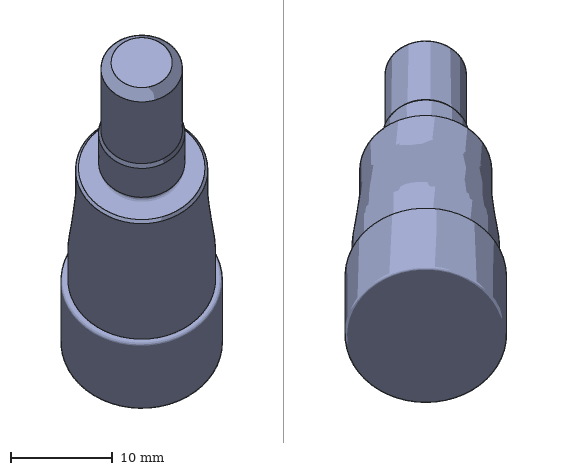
import cadquery as cq
import math

total_height = 48.0
base_height = 11.05
taper_top = 25.4
shoulder_height = 30.0
groove_height = 30.45
collar_bottom = 31.0
collar_top = 36.45

base_radius = 15.9 / 2
barrel_radius = 14.55 / 2
sleeve_radius = 13.0 / 2
groove_radius = 7.7 / 2
collar_radius = 8.5 / 2
shank_radius = 8.0 / 2

base_top_fillet = 0.4
base_bottom_fillet = 0.25
shoulder_chamfer = 0.3
collar_chamfer_height = 0.5
shank_chamfer = 1.0

undercut_lower_radius = 0.45
undercut_upper_radius = 0.6

taper_angle = math.radians(5.0)
blend_radius = 10.0


def make_base():
    """Plain round foot with both rims rounded."""
    foot = cq.Workplane("XY").circle(base_radius).extrude(base_height)
    foot = foot.faces(">Z").edges().fillet(base_top_fillet)
    return foot.faces("<Z").edges().fillet(base_bottom_fillet)


def blend_step(angle):
    """Radial and axial travel of a blend arc that has turned by the angle away from the axis."""
    return blend_radius * (1 - math.cos(angle)), blend_radius * math.sin(angle)


def make_spindle():
    """Turned barrel, tapered grip, sleeve with its shoulder, undercut, collar and shank, standing on the base."""
    end_dr, end_dz = blend_step(taper_angle)
    mid_dr, mid_dz = blend_step(taper_angle / 2)
    cone_dr = barrel_radius - sleeve_radius - 2 * end_dr
    cone_length = cone_dr / math.tan(taper_angle)
    taper_bottom = taper_top - cone_length - 2 * end_dz

    profile = (
        cq.Workplane("XZ")
        .moveTo(0, base_height)
        .lineTo(barrel_radius, base_height)
        .lineTo(barrel_radius, taper_bottom)
        .threePointArc(
            (barrel_radius - mid_dr, taper_bottom + mid_dz),
            (barrel_radius - end_dr, taper_bottom + end_dz),
        )
        .lineTo(sleeve_radius + end_dr, taper_top - end_dz)
        .threePointArc((sleeve_radius + mid_dr, taper_top - mid_dz), (sleeve_radius, taper_top))
        .lineTo(sleeve_radius, shoulder_height - shoulder_chamfer)
        .lineTo(sleeve_radius - shoulder_chamfer, shoulder_height)
        .lineTo(collar_radius, shoulder_height)
        .radiusArc((groove_radius, groove_height), undercut_lower_radius)
        .radiusArc((collar_radius, collar_bottom), undercut_upper_radius)
        .lineTo(collar_radius, collar_top - collar_chamfer_height)
        .lineTo(shank_radius, collar_top)
        .lineTo(shank_radius, total_height - shank_chamfer)
        .lineTo(shank_radius - shank_chamfer, total_height)
        .lineTo(0, total_height)
        .close()
    )
    return profile.revolve(360, (0, 0, 0), (0, 1, 0))


base = make_base()
spindle = make_spindle()

result = cq.Compound.makeCompound([base.val(), spindle.val()])